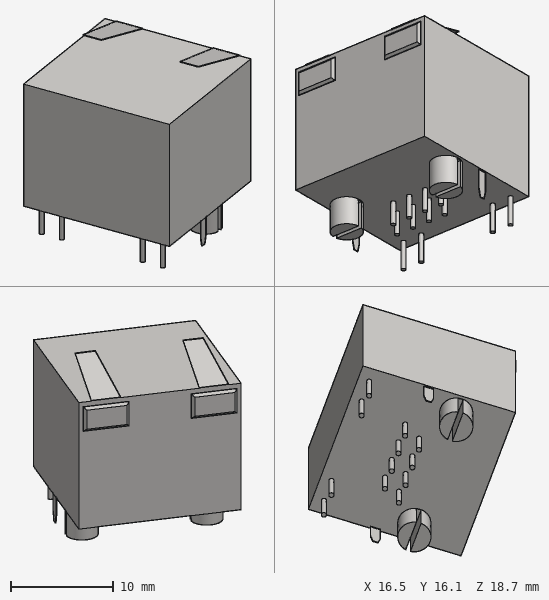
import cadquery as cq

HOUSING_WIDTH = 16.51
HOUSING_DEPTH = 15.75
HOUSING_HEIGHT = 13.52
FRONT_Y = HOUSING_DEPTH / 2
REAR_Y = -HOUSING_DEPTH / 2

SIDE_OFFSET = 5.5
SPRING_ROOT_WIDTH = 2.99
SPRING_TIP_WIDTH = 2.05
SPRING_RUN = 7.21
SPRING_TOP = 2.02
SPRING_ROOT_SINK = 0.02
SPRING_THICKNESS = 0.1

POST_DIAMETER = 3.25
POST_LENGTH = 3.03
POST_X = 6.35
POST_Y = FRONT_Y - 5.47
POST_SLOT_WIDTH = 0.49
POST_SLOT_OFFSET = 0.1
POST_SLOT_FLOOR = 0.1

PIN_DIAMETER = 0.5
CONTACT_COUNT = 8
CONTACT_SPAN = 7.12
CONTACT_LENGTH = 2.5
CONTACT_FRONT_ROW_Y = FRONT_Y - 8.01
CONTACT_ROW_GAP = 1.77
LED_PIN_LENGTH = 3.14
LED_PIN_INNER_X = 4.58
LED_PIN_OUTER_X = 6.85
LED_PIN_Y = REAR_Y + 1.12

BLADE_THICKNESS = 0.1
BLADE_INSET = 0.13
BLADE_WIDTH = 1.0
BLADE_TIP_WIDTH = 0.55
BLADE_LENGTH = 3.03
BLADE_STRAIGHT = 2.1
BLADE_Y = CONTACT_FRONT_ROW_Y - CONTACT_ROW_GAP / 2

LENS_WIDTH = 4.65
LENS_HEIGHT = 2.6
LENS_DEPTH = 0.3
LENS_RIM = 0.07
LENS_BEVEL = 0.28
LENS_Z = HOUSING_HEIGHT - 1.8


def spring(x):
    """Thin sloping tab, narrowing from its root at the front edge to its tip."""
    tip_y = FRONT_Y - SPRING_RUN
    tip_z = HOUSING_HEIGHT + SPRING_TOP
    side_profile = (
        cq.Workplane("YZ", origin=(x, 0, 0))
        .polyline([
            (FRONT_Y, HOUSING_HEIGHT - SPRING_ROOT_SINK),
            (FRONT_Y, HOUSING_HEIGHT - SPRING_ROOT_SINK + SPRING_THICKNESS),
            (tip_y, tip_z),
            (tip_y, tip_z - SPRING_THICKNESS),
        ])
        .close()
        .extrude(SPRING_ROOT_WIDTH / 2, both=True)
    )
    outline = (
        cq.Workplane("XY", origin=(x, 0, 0))
        .polyline([
            (-SPRING_ROOT_WIDTH / 2, FRONT_Y),
            (SPRING_ROOT_WIDTH / 2, FRONT_Y),
            (SPRING_TIP_WIDTH / 2, tip_y),
            (-SPRING_TIP_WIDTH / 2, tip_y),
        ])
        .close()
        .extrude(tip_z)
    )
    return side_profile.intersect(outline)


def post(x):
    """Round locating post split by a slot along X."""
    body = cq.Workplane("XY", origin=(x, POST_Y, 0)).circle(POST_DIAMETER / 2).extrude(-POST_LENGTH)
    slot = (
        cq.Workplane("XY", origin=(x, POST_Y - POST_SLOT_OFFSET, -POST_SLOT_FLOOR))
        .rect(POST_DIAMETER, POST_SLOT_WIDTH)
        .extrude(-POST_LENGTH)
    )
    return body.cut(slot)


def pin(x, y, length):
    """Round pin hanging from the housing bottom."""
    return cq.Workplane("XY", origin=(x, y, 0)).circle(PIN_DIAMETER / 2).extrude(-length)


def blade(x):
    """Flat ground blade with a tapered tip."""
    return (
        cq.Workplane("YZ", origin=(x, BLADE_Y, 0))
        .polyline([
            (-BLADE_WIDTH / 2, 0),
            (BLADE_WIDTH / 2, 0),
            (BLADE_WIDTH / 2, -BLADE_STRAIGHT),
            (BLADE_TIP_WIDTH / 2, -BLADE_LENGTH),
            (-BLADE_TIP_WIDTH / 2, -BLADE_LENGTH),
            (-BLADE_WIDTH / 2, -BLADE_STRAIGHT),
        ])
        .close()
        .extrude(BLADE_THICKNESS / 2, both=True)
    )


def make_housing():
    """Block with its springs, posts, blades and pins as one solid."""
    body = cq.Workplane("XY").box(HOUSING_WIDTH, HOUSING_DEPTH, HOUSING_HEIGHT, centered=(True, True, False))
    blade_x = HOUSING_WIDTH / 2 - BLADE_INSET - BLADE_THICKNESS / 2
    for side in (-1, 1):
        body = body.union(spring(side * SIDE_OFFSET))
        body = body.union(post(side * POST_X))
        body = body.union(blade(side * blade_x))
        for led_pin_x in (LED_PIN_INNER_X, LED_PIN_OUTER_X):
            body = body.union(pin(side * led_pin_x, LED_PIN_Y, LED_PIN_LENGTH))
    pitch = CONTACT_SPAN / (CONTACT_COUNT - 1)
    for i in range(CONTACT_COUNT):
        row_y = CONTACT_FRONT_ROW_Y - (i % 2) * CONTACT_ROW_GAP
        body = body.union(pin(i * pitch - CONTACT_SPAN / 2, row_y, CONTACT_LENGTH))
    return body


def make_lens(x):
    """LED lens: a rectangular plate bevelled above a thin rim, seated on the front face."""
    bevel_depth = LENS_DEPTH - LENS_RIM
    return (
        cq.Workplane("XZ", origin=(x, FRONT_Y, LENS_Z))
        .rect(LENS_WIDTH, LENS_HEIGHT)
        .extrude(-LENS_DEPTH)
        .faces(">Y")
        .chamfer(bevel_depth, LENS_BEVEL)
    )


housing = make_housing()
lenses = [make_lens(side * SIDE_OFFSET) for side in (-1, 1)]

result = cq.Compound.makeCompound([housing.solids().val(), *[lens.val() for lens in lenses]])